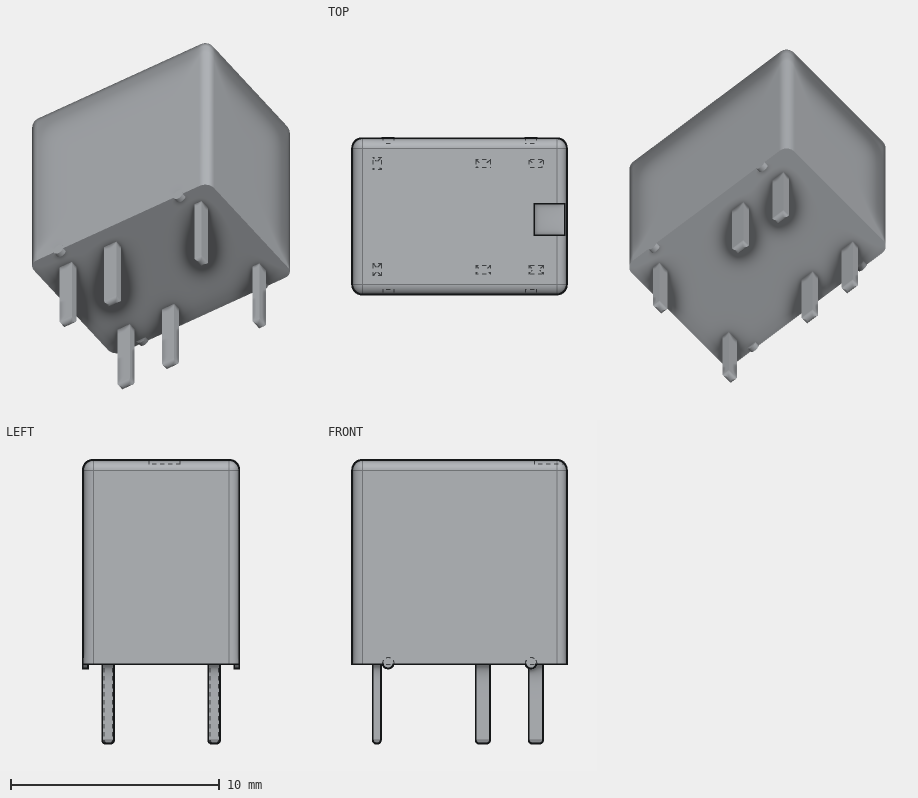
import cadquery as cq

CASE_LENGTH = 10.3
CASE_WIDTH = 7.5
CASE_HEIGHT = 9.8
CASE_RADIUS = 0.5

PIN_LENGTH = 3.8
THIN_PIN_SIZE = (0.4, 0.58)
WIDE_PIN_SIZE = (0.7, 0.4)
PIN_PITCH = 2.54
FIRST_PIN_X = -3.96
PINS = [
    (FIRST_PIN_X, THIN_PIN_SIZE),
    (FIRST_PIN_X + 2 * PIN_PITCH, WIDE_PIN_SIZE),
    (FIRST_PIN_X + 3 * PIN_PITCH, WIDE_PIN_SIZE),
]
PIN_ROW_Y = PIN_PITCH
PIN_TIP_RADIUS = 0.19
PIN_ROOT = 0.5

FOOT_RADIUS = 0.27
FOOT_DROP = 0.2
FOOT_LENGTH = 0.25
FOOT_X = 3.42
FOOT_INNER_Y = CASE_WIDTH / 2 - FOOT_LENGTH
REAR_FOOT_OVERHANG = 0.01

NOTCH_DEPTH = 0.2
NOTCH_WIDTH = 1.5
NOTCH_START_X = 3.59
NOTCH_CENTER_Y = -0.15


def make_case():
    case = cq.Workplane("XY").box(
        CASE_LENGTH, CASE_WIDTH, CASE_HEIGHT, centered=(True, True, False)
    )
    return case.edges("|Z or >Z").fillet(CASE_RADIUS)


def make_notch():
    length = CASE_LENGTH / 2 - NOTCH_START_X
    return (
        cq.Workplane("XY", origin=(NOTCH_START_X, NOTCH_CENTER_Y, CASE_HEIGHT - NOTCH_DEPTH))
        .box(length, NOTCH_WIDTH, NOTCH_DEPTH, centered=(False, True, False))
    )


def make_pin(x, y, size):
    pin = (
        cq.Workplane("XY", origin=(x, y, -PIN_LENGTH))
        .box(*size, PIN_LENGTH + PIN_ROOT, centered=(True, True, False))
    )
    return pin.faces("<Z").edges().fillet(PIN_TIP_RADIUS)


def make_foot(x, side):
    """Foot along the case wall on the given side (+1 or -1 in Y)."""
    length = FOOT_LENGTH
    if side > 0:
        length += REAR_FOOT_OVERHANG
    return (
        cq.Workplane("XZ", origin=(x, side * FOOT_INNER_Y, FOOT_RADIUS - FOOT_DROP))
        .circle(FOOT_RADIUS)
        .extrude(-side * length)
    )


result = make_case().cut(make_notch())
for side in (-1, 1):
    for pin_x, pin_size in PINS:
        result = result.union(make_pin(pin_x, side * PIN_ROW_Y, pin_size))
    for foot_x in (-FOOT_X, FOOT_X):
        result = result.union(make_foot(foot_x, side))